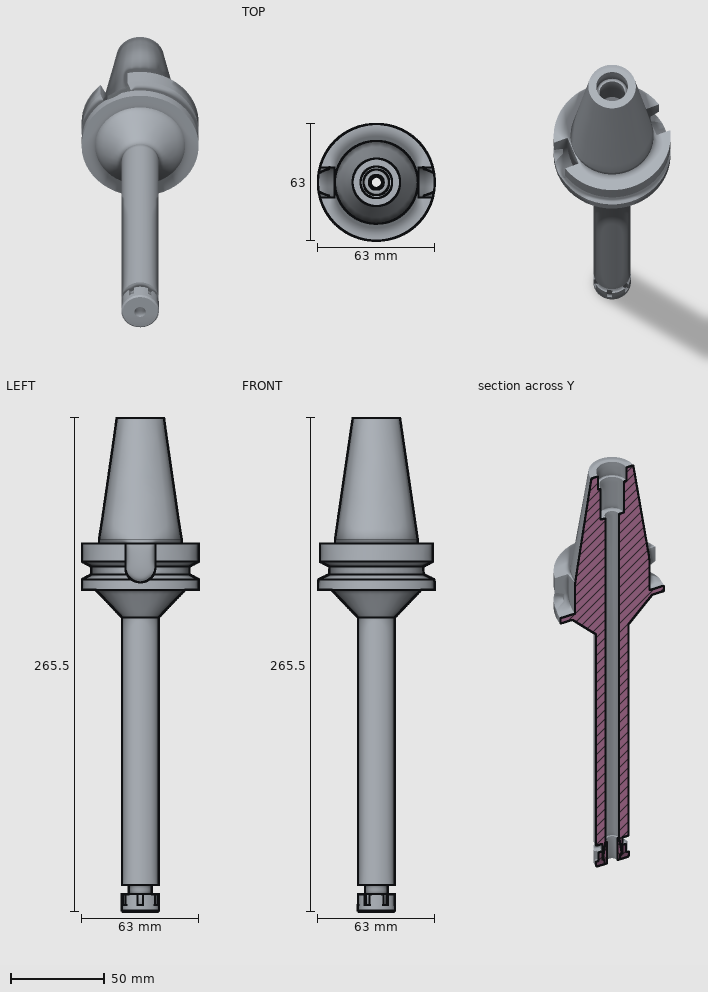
import cadquery as cq
import math


TAPER_RATIO = 7 / 24
GAUGE_DIAMETER = 44.5
TAPER_LENGTH = 65.3
TAPER_TOP_DIAMETER = GAUGE_DIAMETER - TAPER_RATIO * TAPER_LENGTH

FLANGE_DIAMETER = 63.0
FLANGE_TOP = -2.0
FLANGE_BOTTOM = -27.0
GROOVE_FLOOR_DIAMETER = 53.0
GROOVE_CENTER = -16.7
GROOVE_FLOOR_WIDTH = 4.2
GROOVE_MOUTH_WIDTH = 9.5

DRIVE_SLOT_WIDTH = 16.2
DRIVE_SLOT_DEPTH = 21.0
DRIVE_SLOT_FLOOR = 22.5

BACK_CONE_DIAMETER = 48.3
BACK_CONE_LENGTH = 14.9
SHAFT_DIAMETER = 20.0
NECK_DIAMETER = 12.5
NECK_GAP = 4.8

COUNTERBORE_DIAMETER = 17.0
COUNTERBORE_DEPTH = 9.0
THREAD_DIAMETER = 13.8
THREAD_DEPTH = 30.0
THROUGH_BORE_DIAMETER = 8.0

OVERALL_LENGTH = 265.5
NUT_DIAMETER = 20.2
NUT_HEIGHT = 9.5
NUT_CHAMFER = 0.8
NUT_SLOT_COUNT = 6
NUT_SLOT_WIDTH = 3.0
NUT_SLOT_LENGTH = 5.8
NUT_SLOT_DEPTH = 1.5

COLLET_BORE_DIAMETER = 6.0
COLLET_MAX_DIAMETER = 11.1
COLLET_FACE_DIAMETER = 9.5
COLLET_TAPER_ANGLE = 8
COLLET_NOSE_ANGLE = 30

CONE_END = FLANGE_BOTTOM - BACK_CONE_LENGTH
NUT_BOTTOM = TAPER_LENGTH - OVERALL_LENGTH
NUT_TOP = NUT_BOTTOM + NUT_HEIGHT
SHAFT_END = NUT_TOP + NECK_GAP
NECK_END = NUT_TOP - NUT_SLOT_LENGTH
COLLET_TOP = NECK_END + (
    (COLLET_MAX_DIAMETER - THROUGH_BORE_DIAMETER) / 2 / math.tan(math.radians(COLLET_TAPER_ANGLE))
)
NOSE_END = NECK_END - (
    (COLLET_MAX_DIAMETER - COLLET_FACE_DIAMETER) / 2 / math.tan(math.radians(COLLET_NOSE_ANGLE))
)


def revolve_profile(profile):
    """Solid of revolution about Z from (diameter, z) corners of a half section."""
    points = [(diameter / 2, z) for diameter, z in profile]
    return cq.Workplane("XZ").polyline(points).close().revolve(360, (0, 0), (0, 1))


def make_holder_blank():
    """Outside of the holder: taper, grooved flange, back cone, shaft and neck."""
    return revolve_profile([
        (0, TAPER_LENGTH),
        (TAPER_TOP_DIAMETER, TAPER_LENGTH),
        (GAUGE_DIAMETER, 0),
        (GAUGE_DIAMETER, FLANGE_TOP),
        (FLANGE_DIAMETER, FLANGE_TOP),
        (FLANGE_DIAMETER, GROOVE_CENTER + GROOVE_MOUTH_WIDTH / 2),
        (GROOVE_FLOOR_DIAMETER, GROOVE_CENTER + GROOVE_FLOOR_WIDTH / 2),
        (GROOVE_FLOOR_DIAMETER, GROOVE_CENTER - GROOVE_FLOOR_WIDTH / 2),
        (FLANGE_DIAMETER, GROOVE_CENTER - GROOVE_MOUTH_WIDTH / 2),
        (FLANGE_DIAMETER, FLANGE_BOTTOM),
        (BACK_CONE_DIAMETER, FLANGE_BOTTOM),
        (SHAFT_DIAMETER, CONE_END),
        (SHAFT_DIAMETER, SHAFT_END),
        (NECK_DIAMETER, SHAFT_END),
        (NECK_DIAMETER, NECK_END),
        (0, NECK_END),
    ])


def make_holder_bore():
    """Stepped bore from the shank top that opens into the collet socket."""
    return revolve_profile([
        (0, TAPER_LENGTH),
        (COUNTERBORE_DIAMETER, TAPER_LENGTH),
        (COUNTERBORE_DIAMETER, TAPER_LENGTH - COUNTERBORE_DEPTH),
        (THREAD_DIAMETER, TAPER_LENGTH - COUNTERBORE_DEPTH),
        (THREAD_DIAMETER, TAPER_LENGTH - THREAD_DEPTH),
        (THROUGH_BORE_DIAMETER, TAPER_LENGTH - THREAD_DEPTH),
        (THROUGH_BORE_DIAMETER, COLLET_TOP),
        (COLLET_MAX_DIAMETER, NECK_END),
        (0, NECK_END),
    ])


def make_drive_slot(side):
    """Round-ended slot cutter on the +X (side = 1) or -X (side = -1) side."""
    half_width = DRIVE_SLOT_WIDTH / 2
    slot_bottom = FLANGE_TOP - DRIVE_SLOT_DEPTH
    arc_start = slot_bottom + half_width
    return (
        cq.Workplane("YZ", origin=(side * DRIVE_SLOT_FLOOR, 0, 0))
        .moveTo(-half_width, FLANGE_TOP)
        .lineTo(-half_width, arc_start)
        .threePointArc((0, slot_bottom), (half_width, arc_start))
        .lineTo(half_width, FLANGE_TOP)
        .close()
        .extrude(side * FLANGE_DIAMETER / 2)
    )


def make_holder():
    holder = make_holder_blank().cut(make_holder_bore())
    for side in (-1, 1):
        holder = holder.cut(make_drive_slot(side))
    return holder


def make_collet():
    """Double-cone collet, flush with the bottom of the nut."""
    return revolve_profile([
        (COLLET_BORE_DIAMETER, COLLET_TOP),
        (THROUGH_BORE_DIAMETER, COLLET_TOP),
        (COLLET_MAX_DIAMETER, NECK_END),
        (COLLET_FACE_DIAMETER, NOSE_END),
        (COLLET_FACE_DIAMETER, NUT_BOTTOM),
        (COLLET_BORE_DIAMETER, NUT_BOTTOM),
    ])


def make_nut():
    """Clamping nut around the neck and the collet nose, with wrench slots at the top."""
    nut = revolve_profile([
        (NECK_DIAMETER, NUT_TOP),
        (NUT_DIAMETER, NUT_TOP),
        (NUT_DIAMETER, NUT_BOTTOM + NUT_CHAMFER),
        (NUT_DIAMETER - 2 * NUT_CHAMFER, NUT_BOTTOM),
        (COLLET_FACE_DIAMETER, NUT_BOTTOM),
        (COLLET_FACE_DIAMETER, NOSE_END),
        (COLLET_MAX_DIAMETER, NECK_END),
        (NECK_DIAMETER, NECK_END),
    ])
    slot = cq.Workplane("XY").box(2 * NUT_SLOT_DEPTH, NUT_SLOT_WIDTH, NUT_SLOT_LENGTH).translate(
        (NUT_DIAMETER / 2, 0, NUT_TOP - NUT_SLOT_LENGTH / 2)
    )
    for index in range(NUT_SLOT_COUNT):
        nut = nut.cut(slot.rotate((0, 0, 0), (0, 0, 1), index * 360 / NUT_SLOT_COUNT))
    return nut


holder = make_holder()
collet = make_collet()
nut = make_nut()

result = cq.Compound.makeCompound([holder.val(), collet.val(), nut.val()])